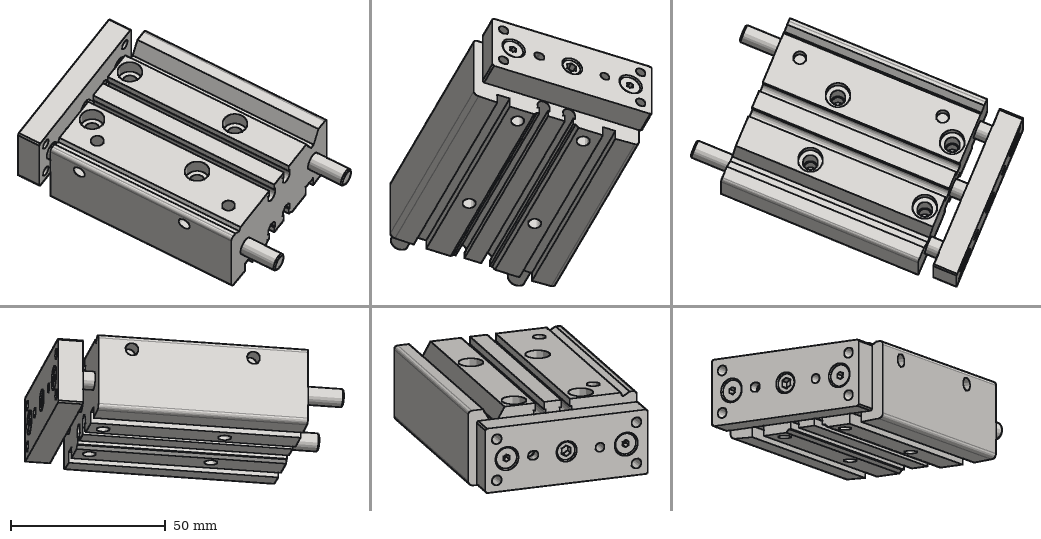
import cadquery as cq
import math

TOTAL_LENGTH = 95.0
HOUSING_WIDTH = 58.0
HOUSING_HEIGHT = 26.0
HOUSING_LENGTH = 69.0
PLATE_THICKNESS = 8.2
PLATE_GAP = 4.8

PLATE_FACE_X = -TOTAL_LENGTH / 2
PLATE_BACK_X = PLATE_FACE_X + PLATE_THICKNESS
HOUSING_FRONT_X = PLATE_BACK_X + PLATE_GAP
HOUSING_REAR_X = HOUSING_FRONT_X + HOUSING_LENGTH
ROD_END_X = TOTAL_LENGTH / 2
HALF_WIDTH = HOUSING_WIDTH / 2
TOP_Z = HOUSING_HEIGHT / 2
BOTTOM_Z = -TOP_Z

ROD_DIAMETER = 6.0
ROD_END_CHAMFER = 0.5
GUIDE_ROD_Y = 20.5
PISTON_ROD_END_X = HOUSING_FRONT_X + HOUSING_LENGTH / 2

TOP_CORNER_RADIUS = 1.2
BOTTOM_CORNER_RADIUS = 1.7
BOTTOM_EDGE_RISE = 0.5
BOTTOM_RELIEF_HALF_WIDTH = 7.8
BOTTOM_RELIEF_DEPTH = 1.0

WIDE_GROOVE_CENTER_Y = 20.2
WIDE_GROOVE_TOP_WIDTH = 7.4
WIDE_GROOVE_DEPTH = 5.0
FLANK_ANGLE = math.radians(60)

NOTCH_ROOT_Y = -24.2
NOTCH_DEPTH = 1.3

SENSOR_SLOT_Y = 4.5
SENSOR_NECK_WIDTH = 3.0
SENSOR_NECK_DEPTH = 2.6
SENSOR_CHANNEL_WIDTH = 4.2
SENSOR_CHANNEL_STRAIGHT = 1.4

BOTTOM_SLOT_Y = 18.5
BOTTOM_SLOT_WIDTH = 4.4
BOTTOM_SLOT_DEPTH = 3.8

MOUNT_X_FROM_PLATE = (18.0, 57.95)
MOUNT_Y = 11.5
MOUNT_DIAMETER = 4.8
MOUNT_TAP_DIAMETER = 4.2
MOUNT_TAP_LENGTH = 10.0
MOUNT_BORE_DIAMETER = 8.0
MOUNT_BORE_DEPTH = 4.9

PORT_DIAMETER = 4.2
PORT_DEPTH = 5.7
TOP_PORT_X_FROM_PLATE = (24.0, 74.0)
TOP_PORT_Y = -18.05
SIDE_PORT_X_FROM_PLATE = (24.0, 64.0)
SIDE_PORT_Z = 8.55

PLATE_WIDTH = 56.0
PLATE_HEIGHT = 22.0
PLATE_CHAMFER = 0.6
CORNER_HOLE_DIAMETER = 3.3
CORNER_HOLE_Y = 24.0
CORNER_HOLE_Z = 7.0
DOWEL_DIAMETER = 3.0
DOWEL_Y = 11.5
DOWEL_SLOT_LENGTH = 3.5
DOWEL_SLOT_DEPTH = 3.8
GUIDE_RECESS_DIAMETER = 8.0
PISTON_RECESS_DIAMETER = 7.0
RECESS_DEPTH = 0.5
RECESS_TAPER = 45
GUIDE_SOCKET_FLATS = 2.1
PISTON_SOCKET_FLATS = 3.1
SOCKET_DEPTH = 2.85


def x_cylinder(diameter, x_start, x_end, y, z=0.0):
    """Cylinder along X between two stations."""
    plane = cq.Workplane("YZ", origin=(x_start, y, z))
    return plane.circle(diameter / 2).extrude(x_end - x_start)


def housing_prism(outline):
    """Extrude a closed outline of (Y, Z) points over the full housing length."""
    plane = cq.Workplane("YZ", origin=(HOUSING_FRONT_X, 0, 0))
    return plane.polyline(outline).close().extrude(HOUSING_LENGTH)


def housing_blank():
    """Extruded block with rounded long edges and slightly raised lower outer edges."""
    edge_z = BOTTOM_Z + BOTTOM_EDGE_RISE
    outline = [
        (-HALF_WIDTH, TOP_Z),
        (-HALF_WIDTH, edge_z),
        (-BOTTOM_SLOT_Y, BOTTOM_Z),
        (BOTTOM_SLOT_Y, BOTTOM_Z),
        (HALF_WIDTH, edge_z),
        (HALF_WIDTH, TOP_Z),
    ]
    blank = housing_prism(outline)
    blank = blank.edges("|X and >Z").fillet(TOP_CORNER_RADIUS)
    for side in (-1, 1):
        edge_middle = (HOUSING_FRONT_X + HOUSING_LENGTH / 2, side * HALF_WIDTH, edge_z)
        corner_edge = cq.selectors.NearestToPointSelector(edge_middle)
        blank = blank.edges(corner_edge).fillet(BOTTOM_CORNER_RADIUS)
    return blank


def wide_groove():
    """Trapezoidal groove that narrows towards its floor."""
    half_top = WIDE_GROOVE_TOP_WIDTH / 2
    half_floor = half_top - WIDE_GROOVE_DEPTH / math.tan(FLANK_ANGLE)
    floor_z = TOP_Z - WIDE_GROOVE_DEPTH
    outline = [
        (WIDE_GROOVE_CENTER_Y - half_top, TOP_Z),
        (WIDE_GROOVE_CENTER_Y - half_floor, floor_z),
        (WIDE_GROOVE_CENTER_Y + half_floor, floor_z),
        (WIDE_GROOVE_CENTER_Y + half_top, TOP_Z),
    ]
    return housing_prism(outline)


def edge_notch():
    """V notch whose inner flank is steep and whose outer flank is shallow."""
    outline = [
        (NOTCH_ROOT_Y + NOTCH_DEPTH / math.tan(FLANK_ANGLE), TOP_Z),
        (NOTCH_ROOT_Y, TOP_Z - NOTCH_DEPTH),
        (NOTCH_ROOT_Y - NOTCH_DEPTH * math.tan(FLANK_ANGLE), TOP_Z),
    ]
    return housing_prism(outline)


def bottom_relief():
    """Shallow recess with 45 degree sides along the middle of the underside."""
    floor_z = BOTTOM_Z + BOTTOM_RELIEF_DEPTH
    floor_half_width = BOTTOM_RELIEF_HALF_WIDTH - BOTTOM_RELIEF_DEPTH
    outline = [
        (-BOTTOM_RELIEF_HALF_WIDTH, BOTTOM_Z),
        (-floor_half_width, floor_z),
        (floor_half_width, floor_z),
        (BOTTOM_RELIEF_HALF_WIDTH, BOTTOM_Z),
    ]
    return housing_prism(outline)


def slot_box(y, width, z_start, z_end):
    """Rectangular channel along the full housing, between two heights."""
    y_low = y - width / 2
    y_high = y + width / 2
    return housing_prism([(y_low, z_start), (y_high, z_start), (y_high, z_end), (y_low, z_end)])


def sensor_slot(y, mouth_z, inward):
    """Neck and round-floored channel cut from mouth_z; inward is the Z direction of the cut."""
    shoulder_z = mouth_z + inward * SENSOR_NECK_DEPTH
    center_z = shoulder_z + inward * SENSOR_CHANNEL_STRAIGHT
    neck = slot_box(y, SENSOR_NECK_WIDTH, mouth_z, center_z)
    channel = slot_box(y, SENSOR_CHANNEL_WIDTH, shoulder_z, center_z)
    round_floor = x_cylinder(SENSOR_CHANNEL_WIDTH, HOUSING_FRONT_X, HOUSING_REAR_X, y, center_z)
    below_shoulder = slot_box(y, SENSOR_CHANNEL_WIDTH, shoulder_z, center_z + inward * SENSOR_CHANNEL_WIDTH)
    return neck.union(channel).union(round_floor.intersect(below_shoulder))


def bottom_slot(y):
    return slot_box(y, BOTTOM_SLOT_WIDTH, BOTTOM_Z, BOTTOM_Z + BOTTOM_SLOT_DEPTH)


def drill_housing(housing):
    """Counterbored stepped mounting holes and blind air ports."""
    mounts = [(PLATE_FACE_X + x, y) for x in MOUNT_X_FROM_PLATE for y in (-MOUNT_Y, MOUNT_Y)]
    top_ports = [(PLATE_FACE_X + x, TOP_PORT_Y) for x in TOP_PORT_X_FROM_PLATE]
    side_ports = [(PLATE_FACE_X + x, SIDE_PORT_Z) for x in SIDE_PORT_X_FROM_PLATE]
    top = cq.Workplane("XY", origin=(0, 0, TOP_Z))
    side = cq.Workplane("XZ", origin=(0, -HALF_WIDTH, 0))
    holes = [
        (top, mounts, MOUNT_TAP_DIAMETER, HOUSING_HEIGHT),
        (top, mounts, MOUNT_DIAMETER, HOUSING_HEIGHT - MOUNT_TAP_LENGTH),
        (top, mounts, MOUNT_BORE_DIAMETER, MOUNT_BORE_DEPTH),
        (top, top_ports, PORT_DIAMETER, PORT_DEPTH),
        (side, side_ports, PORT_DIAMETER, PORT_DEPTH),
    ]
    for face, points, diameter, depth in holes:
        housing = housing.cut(face.pushPoints(points).circle(diameter / 2).extrude(-depth))
    return housing


def make_housing():
    housing = housing_blank().cut(wide_groove()).cut(edge_notch()).cut(bottom_relief())
    for side in (-1, 1):
        housing = housing.cut(sensor_slot(side * SENSOR_SLOT_Y, TOP_Z, -1))
        housing = housing.cut(sensor_slot(side * SENSOR_SLOT_Y, BOTTOM_Z + BOTTOM_RELIEF_DEPTH, 1))
        housing = housing.cut(bottom_slot(side * BOTTOM_SLOT_Y))
        guide_y = side * GUIDE_ROD_Y
        housing = housing.cut(x_cylinder(ROD_DIAMETER, HOUSING_FRONT_X, HOUSING_REAR_X, guide_y))
    housing = housing.cut(x_cylinder(ROD_DIAMETER, HOUSING_FRONT_X, PISTON_ROD_END_X, 0))
    return drill_housing(housing)


def rod_recess(y, mouth_diameter, socket_flats):
    """Shallow 45 degree recess over a rod end, with a hexagon socket in its floor."""
    face = cq.Workplane("YZ", origin=(PLATE_FACE_X, y, 0))
    recess = face.circle(mouth_diameter / 2).extrude(RECESS_DEPTH, taper=RECESS_TAPER)
    corner_diameter = socket_flats / math.cos(math.pi / 6)
    socket = (
        face.transformed(rotate=(0, 0, 90))
        .polygon(6, corner_diameter)
        .extrude(RECESS_DEPTH + SOCKET_DEPTH)
    )
    return recess.union(socket)


def make_plate_with_rods():
    """End plate carrying the two guide rods and the piston rod as one piece."""
    face = cq.Workplane("YZ", origin=(PLATE_FACE_X, 0, 0))
    slide = face.rect(PLATE_WIDTH, PLATE_HEIGHT).extrude(PLATE_THICKNESS)
    slide = slide.edges("|X").chamfer(PLATE_CHAMFER)

    corner_holes = face.rect(2 * CORNER_HOLE_Y, 2 * CORNER_HOLE_Z, forConstruction=True).vertices()
    slide = slide.cut(corner_holes.circle(CORNER_HOLE_DIAMETER / 2).extrude(PLATE_THICKNESS))
    dowels = face.pushPoints([(-DOWEL_Y, 0), (DOWEL_Y, 0)]).circle(DOWEL_DIAMETER / 2)
    slide = slide.cut(dowels.extrude(PLATE_THICKNESS))
    dowel_slot = face.center(DOWEL_Y, 0).slot2D(DOWEL_SLOT_LENGTH, DOWEL_DIAMETER)
    slide = slide.cut(dowel_slot.extrude(DOWEL_SLOT_DEPTH))

    for y in (-GUIDE_ROD_Y, GUIDE_ROD_Y):
        rod = x_cylinder(ROD_DIAMETER, PLATE_BACK_X, ROD_END_X, y)
        slide = slide.union(rod.faces(">X").chamfer(ROD_END_CHAMFER))
        slide = slide.cut(rod_recess(y, GUIDE_RECESS_DIAMETER, GUIDE_SOCKET_FLATS))
    slide = slide.union(x_cylinder(ROD_DIAMETER, PLATE_BACK_X, PISTON_ROD_END_X, 0))
    return slide.cut(rod_recess(0, PISTON_RECESS_DIAMETER, PISTON_SOCKET_FLATS))


housing = make_housing()
plate_with_rods = make_plate_with_rods()

result = cq.Compound.makeCompound([housing.solids().val(), plate_with_rods.solids().val()])